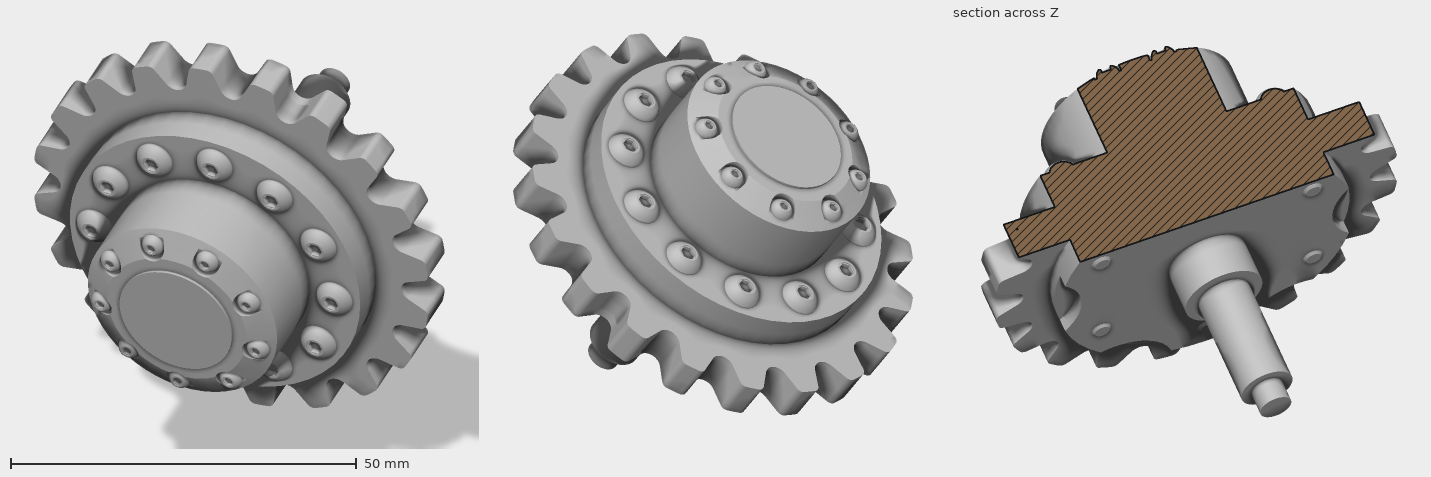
import cadquery as cq
import math


FLANGE_DIAMETER = 46.0
FLANGE_BACK_Y = 15.65

NOTCH_COUNT = 6
NOTCH_DEPTH = 2.0
NOTCH_RADIUS = 9.0
NOTCH_CENTRE_RADIUS = 28.5
NOTCH_FIRST_ANGLE = 0.0

TOOTH_COUNT = 20
SPROCKET_FRONT_Y = 5.65
SPROCKET_THICKNESS = 6.0
TIP_RADIUS = 31.4
ROOT_RADIUS = 26.97
GAP_ARC_RADIUS = 1.8
FLANK_ANGLE = 25.6
TIP_ROUNDING = 1.0

HUB_DIAMETER = 30.0
HUB_LENGTH = 13.5
CONE_LENGTH = 2.0
CONE_SMALL_DIAMETER = 22.0
CAP_DIAMETER = 17.75
CAP_THICKNESS = 0.45

COLLAR_DIAMETER = 12.0
COLLAR_END_Y = 22.2
SHAFT_DIAMETER = 8.0
SHAFT_END_Y = 38.9
PIN_DIAMETER = 4.85
OVERALL_LENGTH = 56.3
PIN_END_Y = OVERALL_LENGTH - HUB_LENGTH - CAP_THICKNESS

HEAD_RIM_HEIGHT = 0.15
MOUTH_DEPTH = 0.15

FLANGE_SCREW_COUNT = 12
FLANGE_SCREW_CIRCLE_RADIUS = 19.0
FLANGE_HEAD_DIAMETER = 5.7
FLANGE_HEAD_FLAT_DIAMETER = 3.0
FLANGE_HEAD_HEIGHT = 1.65
FLANGE_HEX_WIDTH = 2.0
FLANGE_HEX_DEPTH = 1.0
FLANGE_SOCKET_MOUTH_DIAMETER = 2.4

SCREW_END_COUNT = 6
SCREW_END_DIAMETER = 3.0
SCREW_END_HEIGHT = 0.4
SCREW_END_CHAMFER = 0.35

HUB_SCREW_COUNT = 9
HUB_SCREW_CIRCLE_RADIUS = 12.5
HUB_SCREW_FIRST_ANGLE = -90.0
HUB_HEAD_DIAMETER = 3.5
HUB_HEAD_FLAT_DIAMETER = 2.0
HUB_HEAD_HEIGHT = 1.3
HUB_HEX_WIDTH = 1.25
HUB_HEX_DEPTH = 0.6
HUB_SOCKET_MOUTH_DIAMETER = 1.5
POCKET_WIDTH = 4.0
POCKET_FLOOR_Y = -12.05


def plane_at(y):
    """XZ plane at the given y, with its normal toward -Y."""
    return cq.Workplane("XZ", origin=(0, y, 0))


def cylinder(diameter, start_y, end_y):
    return plane_at(end_y).circle(diameter / 2).extrude(end_y - start_y)


def around_axis(shape, count, first_angle=0.0):
    """Copies of a shape that lies toward +X, spread evenly; angles run from +X toward +Z."""
    copies = cq.Workplane("XY")
    for index in range(count):
        angle = first_angle + index * 360 / count
        copies = copies.add(shape.rotate((0, 0, 0), (0, 1, 0), -angle))
    return copies.combine()


def is_tooth_corner(edge):
    """True for an edge that lies on the tip cylinder of the sprocket."""
    tolerance = 0.01
    centre = edge.Center()
    return math.hypot(centre.x, centre.z) > TIP_RADIUS - tolerance


def sprocket():
    """Toothed disc whose gaps have a round root and straight, flaring flanks."""
    back_y = SPROCKET_FRONT_Y + SPROCKET_THICKNESS
    disc = cylinder(2 * TIP_RADIUS, SPROCKET_FRONT_Y, back_y)

    flank = math.radians(FLANK_ANGLE)
    arc_centre = ROOT_RADIUS + GAP_ARC_RADIUS
    tangent_x = arc_centre - GAP_ARC_RADIUS * math.sin(flank)
    tangent_z = GAP_ARC_RADIUS * math.cos(flank)
    mouth_x = TIP_RADIUS + TIP_ROUNDING
    mouth_z = tangent_z + (mouth_x - tangent_x) * math.tan(flank)
    gap = (
        plane_at(back_y)
        .moveTo(mouth_x, mouth_z)
        .lineTo(tangent_x, tangent_z)
        .threePointArc((ROOT_RADIUS, 0), (tangent_x, -tangent_z))
        .lineTo(mouth_x, -mouth_z)
        .close()
        .extrude(SPROCKET_THICKNESS)
    )
    toothed = disc.cut(around_axis(gap, TOOTH_COUNT))
    corners = toothed.edges("|Y").filter(is_tooth_corner)
    return toothed.newObject(corners.vals()).fillet(TIP_ROUNDING)


def flange():
    body = cylinder(FLANGE_DIAMETER, 0, FLANGE_BACK_Y)
    notch = cylinder(2 * NOTCH_RADIUS, FLANGE_BACK_Y - NOTCH_DEPTH, FLANGE_BACK_Y)
    notch = notch.translate((NOTCH_CENTRE_RADIUS, 0, 0))
    return body.cut(around_axis(notch, NOTCH_COUNT, NOTCH_FIRST_ANGLE))


def hub():
    cone_width = (HUB_DIAMETER - CONE_SMALL_DIAMETER) / 2
    body = cylinder(HUB_DIAMETER, -HUB_LENGTH, 0)
    body = body.faces("<Y").chamfer(CONE_LENGTH, cone_width)

    pocket_length = HUB_DIAMETER / 2 - HUB_SCREW_CIRCLE_RADIUS
    pocket_height = HUB_LENGTH + POCKET_FLOOR_Y
    pocket = (
        plane_at(POCKET_FLOOR_Y)
        .circle(POCKET_WIDTH / 2)
        .extrude(pocket_height)
        .union(
            plane_at(POCKET_FLOOR_Y)
            .center(pocket_length / 2, 0)
            .rect(pocket_length, POCKET_WIDTH)
            .extrude(pocket_height)
        )
        .translate((HUB_SCREW_CIRCLE_RADIUS, 0, 0))
    )
    body = body.cut(around_axis(pocket, HUB_SCREW_COUNT, HUB_SCREW_FIRST_ANGLE))
    cap = cylinder(CAP_DIAMETER, -HUB_LENGTH - CAP_THICKNESS, -HUB_LENGTH)
    return body.union(cap)


def shaft():
    collar = cylinder(COLLAR_DIAMETER, FLANGE_BACK_Y, COLLAR_END_Y)
    middle = cylinder(SHAFT_DIAMETER, COLLAR_END_Y, SHAFT_END_Y)
    pin = cylinder(PIN_DIAMETER, SHAFT_END_Y, PIN_END_Y)
    return collar.union(middle).union(pin)


def button_head(diameter, flat_diameter, height, hex_width, hex_depth, mouth_diameter):
    """Domed screw head on y = 0, pointing toward -Y, with a round mouth over its hexagon socket."""
    base = diameter / 2
    flat = flat_diameter / 2
    dome_height = height - HEAD_RIM_HEIGHT
    sphere_offset = (base**2 - flat**2 - dome_height**2) / (2 * dome_height)
    sphere_radius = math.hypot(base, sphere_offset)
    middle_radius = math.sqrt(sphere_radius**2 - (dome_height / 2 + sphere_offset) ** 2)
    middle_y = -HEAD_RIM_HEIGHT - dome_height / 2
    mouth = mouth_diameter / 2
    mouth_floor_y = MOUTH_DEPTH - height
    head = (
        cq.Workplane("XY")
        .lineTo(base, 0)
        .lineTo(base, -HEAD_RIM_HEIGHT)
        .threePointArc((middle_radius, middle_y), (flat, -height))
        .lineTo(mouth, -height)
        .lineTo(mouth, mouth_floor_y)
        .lineTo(0, mouth_floor_y)
        .close()
        .revolve(360, (0, 0), (0, 1))
    )
    hex_corner_diameter = hex_width / math.cos(math.pi / 6)
    socket = plane_at(hex_depth - height).polygon(6, hex_corner_diameter).extrude(hex_depth)
    return head.cut(socket)


def flange_screws():
    head = button_head(
        FLANGE_HEAD_DIAMETER,
        FLANGE_HEAD_FLAT_DIAMETER,
        FLANGE_HEAD_HEIGHT,
        FLANGE_HEX_WIDTH,
        FLANGE_HEX_DEPTH,
        FLANGE_SOCKET_MOUTH_DIAMETER,
    )
    heads = cq.Workplane("XY")
    for index in range(FLANGE_SCREW_COUNT):
        angle = 2 * math.pi * index / FLANGE_SCREW_COUNT
        x = FLANGE_SCREW_CIRCLE_RADIUS * math.cos(angle)
        z = FLANGE_SCREW_CIRCLE_RADIUS * math.sin(angle)
        heads = heads.add(head.translate((x, 0, z)))
    return heads.combine()


def screw_ends():
    end_y = FLANGE_BACK_Y + SCREW_END_HEIGHT
    end = cylinder(SCREW_END_DIAMETER, FLANGE_BACK_Y, end_y)
    end = end.faces(">Y").chamfer(SCREW_END_CHAMFER)
    end = end.translate((FLANGE_SCREW_CIRCLE_RADIUS, 0, 0))
    between_notches = NOTCH_FIRST_ANGLE + 180 / NOTCH_COUNT
    return around_axis(end, SCREW_END_COUNT, between_notches)


def hub_screws():
    head = button_head(
        HUB_HEAD_DIAMETER,
        HUB_HEAD_FLAT_DIAMETER,
        HUB_HEAD_HEIGHT,
        HUB_HEX_WIDTH,
        HUB_HEX_DEPTH,
        HUB_SOCKET_MOUTH_DIAMETER,
    )
    head = head.translate((HUB_SCREW_CIRCLE_RADIUS, POCKET_FLOOR_Y, 0))
    return around_axis(head, HUB_SCREW_COUNT, HUB_SCREW_FIRST_ANGLE)


result = flange().union(sprocket()).union(hub()).union(shaft())
for screws in (flange_screws(), screw_ends(), hub_screws()):
    result = result.union(screws)